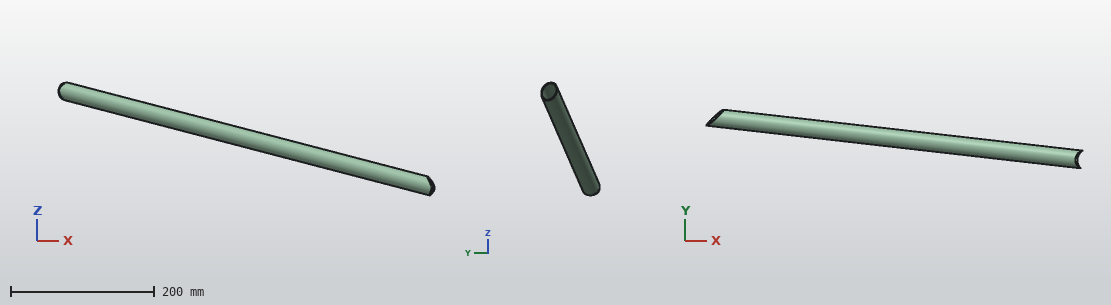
import cadquery as cq

outer_diameter = 25.0
wall = 1.5
inner_diameter = outer_diameter - 2 * wall

axis_direction = cq.Vector(100, -11.4, -26.1)
axis_middle = cq.Vector(0, 1.0, 0.5)

mitre_x = -248.5
mitre_normal = cq.Vector(-1, 1.1, 0.2)
cope_centre_x = 269.5
cope_diameter = 30.0
cope_direction = cq.Vector(-0.12, 0, 1)

end_stock = 52.5
cutter_size = 209


def on_axis(x):
    """Point of the centre line at the given X."""
    return axis_middle + axis_direction * (x / axis_direction.x)


def rough_tube():
    """Straight tube reaching past both finished ends."""
    start = on_axis(mitre_x - end_stock)
    end = on_axis(cope_centre_x + end_stock)
    section = cq.Workplane(cq.Plane(start, normal=axis_direction))
    return section.circle(outer_diameter / 2).circle(inner_diameter / 2).extrude((end - start).Length)


def mitre_cutter():
    """Block that removes everything beyond the slanted flat end."""
    plane = cq.Plane(on_axis(mitre_x), normal=mitre_normal)
    return cq.Workplane(plane).rect(cutter_size, cutter_size).extrude(cutter_size)


def cope_cutter():
    """Round-nosed slot, open outwards, that saddles the end onto a crossing tube."""
    plane = cq.Plane(on_axis(cope_centre_x), xDir=axis_direction, normal=cope_direction)
    nose = cq.Workplane(plane).circle(cope_diameter / 2).extrude(cutter_size / 2, both=True)
    beyond = (
        cq.Workplane(plane)
        .center(cutter_size / 2, 0)
        .rect(cutter_size, cutter_size)
        .extrude(cutter_size / 2, both=True)
    )
    return nose.union(beyond)


result = rough_tube().cut(mitre_cutter()).cut(cope_cutter())